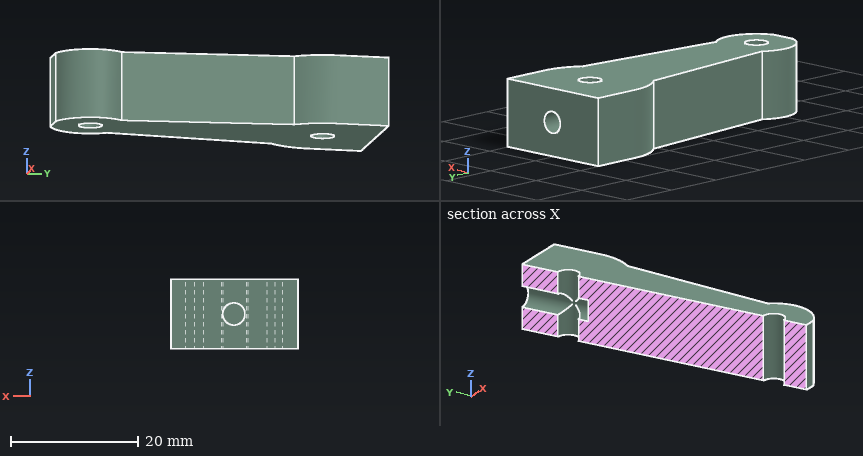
import math

import cadquery as cq

thickness = 11.0
hole_spacing = 37.5

head_radius = 10.0
head_back_y = 8.41
head_back_half_width = 10.015
head_side_start_y = 0.3

foot_radius = 6.35
foot_flat_offset = 6.0

arm_head_left = 8.12
arm_head_right = 8.41
arm_foot_left = 4.69
arm_foot_right = 4.53

head_hole_diameter = 3.7
foot_hole_diameter = 3.7

bore_diameter = 3.5
bore_depth = 12.0
bore_x = 0.1

foot_y = -hole_spacing
foot_flat_y = foot_y - foot_flat_offset
head_side_start_x = math.sqrt(head_radius**2 - head_side_start_y**2)
foot_flat_half_width = math.sqrt(foot_radius**2 - foot_flat_offset**2)


def make_head():
    return (
        cq.Workplane("XY")
        .moveTo(-head_back_half_width, head_back_y)
        .lineTo(-head_side_start_x, head_side_start_y)
        .threePointArc((0, -head_radius), (head_side_start_x, head_side_start_y))
        .lineTo(head_back_half_width, head_back_y)
        .close()
        .extrude(thickness)
    )


def make_arm():
    return (
        cq.Workplane("XY")
        .moveTo(-arm_head_left, 0)
        .lineTo(arm_head_right, 0)
        .lineTo(arm_foot_right, foot_y)
        .lineTo(-arm_foot_left, foot_y)
        .close()
        .extrude(thickness)
    )


def make_foot():
    return (
        cq.Workplane("XY")
        .moveTo(-foot_flat_half_width, foot_flat_y)
        .threePointArc((0, foot_y + foot_radius), (foot_flat_half_width, foot_flat_y))
        .close()
        .extrude(thickness)
    )


def make_hole_cutter(diameter, y):
    return cq.Workplane("XY").center(0, y).circle(diameter / 2).extrude(thickness)


def make_bore_cutter():
    return (
        cq.Workplane("XZ", origin=(bore_x, head_back_y, thickness / 2))
        .circle(bore_diameter / 2)
        .extrude(bore_depth)
    )


body = make_head().union(make_arm()).union(make_foot())
head_hole = make_hole_cutter(head_hole_diameter, 0)
foot_hole = make_hole_cutter(foot_hole_diameter, foot_y)
result = body.cut(head_hole).cut(foot_hole).cut(make_bore_cutter())